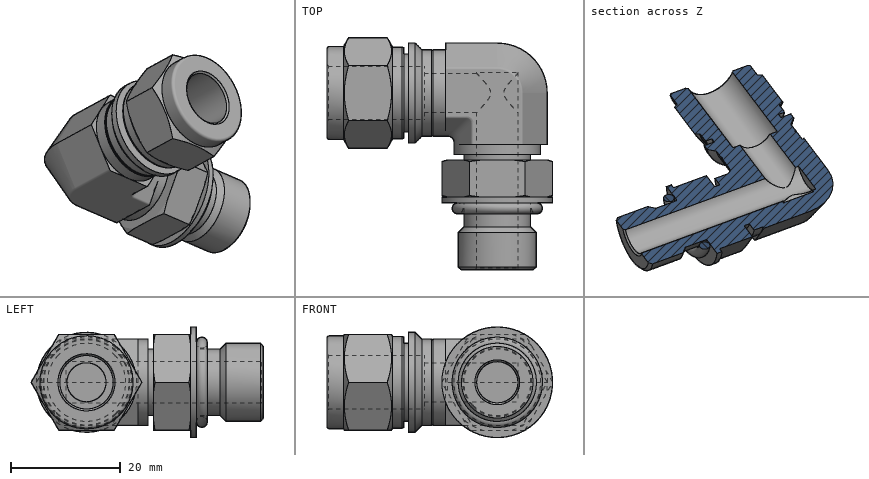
import cadquery as cq
import math


overall_x = 41.2
overall_y = 42.4
wrench_corner_dia = 20.2
washer_dia = wrench_corner_dia
tube_mouth = overall_x - washer_dia / 2
stud_mouth = overall_y - wrench_corner_dia / 2

shank_dia = 15.8
elbow_flat_radius = shank_dia / 2
elbow_corner_radius = elbow_flat_radius / math.cos(math.radians(30))
elbow_leg = 9.4
elbow_edge_round = 0.5
elbow_crotch_round = 1.05

nut_front_dia = 17.0
nut_front_round = 0.5
nut_hex_start = 3.05
nut_hex_length = 8.9
nut_hex_chamfer_angle = 30.0
nut_collar_dia = 16.8
nut_collar_end = 14.05
nut_collar_chamfer = 0.35
nut_collar_chamfer_height = 0.13
neck_dia = 14.3
flange_dia = 18.25
flange_start = 14.88
flange_length = 1.25
flange_taper = (flange_dia - shank_dia) / 2
groove_start = 19.05
groove_width = 0.35
groove_depth = 0.13

thread_dia = neck_dia
stud_neck_dia = 12.2
shank_end = 11.25
locknut_start = 12.2
locknut_end = 19.0
locknut_face_dia = 18.3
locknut_chamfer = 0.3
washer_end = 20.05
thread_start = 25.43
thread_taper = (thread_dia - stud_neck_dia) / 2
thread_tip_dia = 13.05
thread_tip_chamfer = 0.55

tube_socket_dia = 9.75
tube_socket_depth = 17.8
tube_passage_dia = 7.1
stud_passage_dia = 7.5
bore_chamfer = 0.35
passage_overrun = stud_passage_dia / 2

oring_inner_dia = 12.5
oring_section_dia = 2.0


def turned_on_x(profile):
    """Revolve (distance, radius) points about the tube branch axis."""
    points = [(-distance, radius) for distance, radius in profile]
    return cq.Workplane("XY").polyline(points).close().revolve(360, (0, 0), (1, 0))


def turned_on_y(profile):
    """Revolve (distance, radius) points about the stud branch axis."""
    points = [(-radius, -distance) for distance, radius in profile]
    return cq.Workplane("XY").polyline(points).close().revolve(360, (0, 0), (0, 1))


def elbow_section(plane, outer_side):
    """Hexagon with its outer corner sharp and its inner corner rounded to the inscribed circle."""
    half_flat = elbow_corner_radius / 2
    tangent_across = elbow_flat_radius * math.cos(math.radians(30))
    tangent_up = elbow_flat_radius * math.sin(math.radians(30))
    return (
        cq.Workplane(plane)
        .moveTo(outer_side * elbow_corner_radius, 0)
        .lineTo(outer_side * half_flat, elbow_flat_radius)
        .lineTo(-outer_side * half_flat, elbow_flat_radius)
        .lineTo(-outer_side * tangent_across, tangent_up)
        .threePointArc(
            (-outer_side * elbow_flat_radius, 0),
            (-outer_side * tangent_across, -tangent_up),
        )
        .lineTo(-outer_side * half_flat, -elbow_flat_radius)
        .lineTo(outer_side * half_flat, -elbow_flat_radius)
        .close()
    )


def make_elbow():
    tube_leg = elbow_section("YZ", 1).extrude(-elbow_leg)
    stud_leg = elbow_section("XZ", 1).extrude(elbow_leg)
    half_flat = elbow_corner_radius / 2
    bend = (
        cq.Workplane("XZ")
        .moveTo(0, -elbow_flat_radius)
        .lineTo(half_flat, -elbow_flat_radius)
        .lineTo(elbow_corner_radius, 0)
        .lineTo(half_flat, elbow_flat_radius)
        .lineTo(0, elbow_flat_radius)
        .close()
        .revolve(90, (0, 0), (0, 1))
    )
    elbow = tube_leg.union(stud_leg).union(bend).clean()

    crotch = cq.selectors.BoxSelector(
        (-elbow_flat_radius, -elbow_flat_radius, -elbow_flat_radius + 0.05),
        (-half_flat, -half_flat, elbow_flat_radius - 0.05),
    )
    elbow = elbow.edges(crotch).fillet(elbow_crotch_round)

    rims = elbow.faces("|Z").edges().filter(
        lambda edge: min(edge.Center().x, edge.Center().y) > -elbow_leg + 0.05
    )
    return rims.fillet(elbow_edge_round)


def make_tube_nut():
    front_radius = nut_front_dia / 2
    collar_radius = nut_collar_dia / 2
    corner_radius = wrench_corner_dia / 2
    hex_start = tube_mouth - nut_hex_start
    hex_end = hex_start - nut_hex_length
    collar_end = tube_mouth - nut_collar_end
    chamfer = (corner_radius - front_radius) * math.tan(math.radians(nut_hex_chamfer_angle))

    front = (
        cq.Workplane("YZ", origin=(-tube_mouth, 0, 0))
        .circle(front_radius)
        .extrude(nut_hex_start)
        .faces("<X")
        .edges()
        .fillet(nut_front_round)
    )
    hexagon = (
        cq.Workplane("YZ", origin=(-hex_start, 0, 0))
        .polygon(6, wrench_corner_dia)
        .extrude(nut_hex_length)
    )
    envelope = turned_on_x([
        (hex_start, 0),
        (hex_start, front_radius),
        (hex_start - chamfer, corner_radius),
        (hex_end + chamfer, corner_radius),
        (hex_end, front_radius),
        (hex_end, 0),
    ])
    collar = turned_on_x([
        (hex_end, 0),
        (hex_end, collar_radius),
        (collar_end + nut_collar_chamfer, collar_radius),
        (collar_end, collar_radius - nut_collar_chamfer_height),
        (collar_end, 0),
    ])
    return front.union(hexagon.intersect(envelope)).union(collar)


def make_tube_shank():
    """Neck behind the nut, tapered flange and grooved shank, up to the elbow."""
    shank_radius = shank_dia / 2
    flange_front = tube_mouth - flange_start
    flange_back = flange_front - flange_length
    groove_front = tube_mouth - groove_start
    groove_back = groove_front - groove_width
    return turned_on_x([
        (tube_mouth - nut_collar_end, 0),
        (tube_mouth - nut_collar_end, neck_dia / 2),
        (flange_front, neck_dia / 2),
        (flange_front, flange_dia / 2),
        (flange_back, flange_dia / 2),
        (flange_back - flange_taper, shank_radius),
        (groove_front, shank_radius),
        (groove_front, shank_radius - groove_depth),
        (groove_back, shank_radius - groove_depth),
        (groove_back, shank_radius),
        (elbow_leg, shank_radius),
        (elbow_leg, 0),
    ])


def make_stud():
    """Round shank, neck and threaded end, with the washer around the neck."""
    neck_radius = stud_neck_dia / 2
    thread_radius = thread_dia / 2
    return turned_on_y([
        (elbow_leg, 0),
        (elbow_leg, shank_dia / 2),
        (shank_end, shank_dia / 2),
        (shank_end, neck_radius),
        (locknut_end, neck_radius),
        (locknut_end, washer_dia / 2),
        (washer_end, washer_dia / 2),
        (washer_end, neck_radius),
        (thread_start - thread_taper, neck_radius),
        (thread_start, thread_radius),
        (stud_mouth - thread_tip_chamfer, thread_radius),
        (stud_mouth, thread_tip_dia / 2),
        (stud_mouth, 0),
    ])


def make_locknut_hexagon():
    corner_radius = wrench_corner_dia / 2
    face_radius = locknut_face_dia / 2
    hexagon = (
        cq.Workplane("XZ", origin=(0, -locknut_start, 0))
        .polygon(6, wrench_corner_dia)
        .extrude(locknut_end - locknut_start)
    )
    envelope = turned_on_y([
        (locknut_start, 0),
        (locknut_start, face_radius),
        (locknut_start + locknut_chamfer, corner_radius),
        (locknut_end - locknut_chamfer, corner_radius),
        (locknut_end, face_radius),
        (locknut_end, 0),
    ])
    return hexagon.intersect(envelope)


def make_tube_bore():
    """Chamfered tube socket with the narrower flow passage behind it."""
    socket_radius = tube_socket_dia / 2
    socket_floor = tube_mouth - tube_socket_depth
    return turned_on_x([
        (tube_mouth, 0),
        (tube_mouth, socket_radius + bore_chamfer),
        (tube_mouth - bore_chamfer, socket_radius),
        (socket_floor, socket_radius),
        (socket_floor, tube_passage_dia / 2),
        (-passage_overrun, tube_passage_dia / 2),
        (-passage_overrun, 0),
    ])


def make_stud_bore():
    bore_radius = stud_passage_dia / 2
    return turned_on_y([
        (stud_mouth, 0),
        (stud_mouth, bore_radius + bore_chamfer),
        (stud_mouth - bore_chamfer, bore_radius),
        (-passage_overrun, bore_radius),
        (-passage_overrun, 0),
    ])


def make_fitting():
    solid = make_elbow()
    for part in (make_tube_shank(), make_tube_nut(), make_stud(), make_locknut_hexagon()):
        solid = solid.union(part)
    return solid.cut(make_tube_bore()).cut(make_stud_bore())


def make_oring():
    """Ring lying against the washer, loose around the stud neck."""
    section_radius = oring_section_dia / 2
    ring_radius = oring_inner_dia / 2 + section_radius
    center = cq.Vector(0, -(washer_end + section_radius), 0)
    ring = cq.Solid.makeTorus(ring_radius, section_radius, center, cq.Vector(0, 1, 0))
    return cq.Workplane("XY").newObject([ring])


fitting = make_fitting()
oring = make_oring()

result = cq.Compound.makeCompound([fitting.val(), oring.val()])